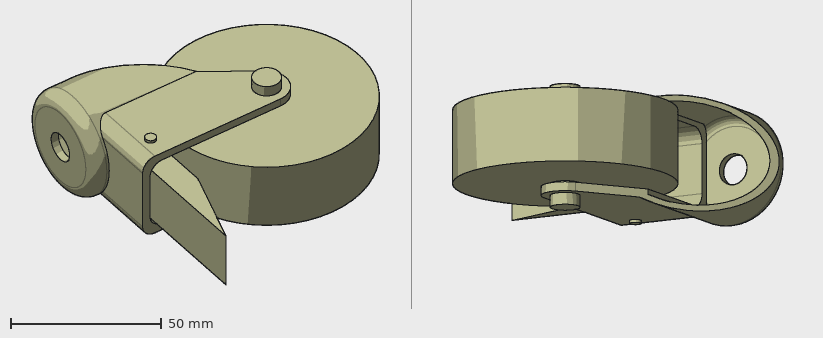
import cadquery as cq
import math

wheel_radius = 37.5
wheel_width = 25.0
axle_diameter = 10.0
axle_length = 41.0

cup_radius = 19.5
cup_wall = 2.0
cup_x = -30.5
cup_base_y = -62.5
cup_base_thickness = 3.0
cup_edge_radius = 5.0
bolt_hole_diameter = 10.5

fork_width = 33.0
fork_wall = 3.0
fork_bend_radius = 5.0
fork_start_x = -22.0
fork_base_y = -56.5
nose_radius = 8.0
slant_start_y = -56.1

pin_y = -47.5
pin_diameter = 4.0
pin_length = 35.0
pedal_width = 21.0
pedal_thickness = 10.0
pedal_taper_x = 20.0
pedal_tip_x = 50.0


def pin(diameter, length, y=0):
    """Cylinder along Z, centred on the XY plane."""
    base = cq.Workplane("XY", origin=(0, y, -length / 2))
    return base.circle(diameter / 2).extrude(length)


def upright(radius, base_y):
    """Cylinder on the swivel axis, rising along +Y past the fork nose."""
    height = nose_radius - base_y
    plane = cq.Workplane("XZ", origin=(cup_x, base_y, 0))
    return plane.circle(radius).extrude(-height)


def channel(width, base_y, bend_radius):
    """Bar along X with rounded lower edges."""
    size = (nose_radius - fork_start_x, nose_radius - base_y, width)
    bar = cq.Workplane("XY").box(*size, centered=(False, False, True))
    bar = bar.translate((fork_start_x, base_y, 0))
    return bar.faces("<Y").edges("|X").fillet(bend_radius)


def side_outline():
    """Fork side shape: a round nose with a slanted edge tangent to it."""
    left_x = cup_x - cup_radius
    distance = math.hypot(left_x, slant_start_y)
    slant = math.atan2(-slant_start_y, -left_x) + math.asin(nose_radius / distance)
    tangent = (-nose_radius * math.sin(slant), nose_radius * math.cos(slant))
    outline = (
        cq.Workplane("XY")
        .moveTo(left_x, cup_base_y)
        .lineTo(nose_radius, cup_base_y)
        .lineTo(nose_radius, 0)
        .threePointArc((0, nose_radius), tangent)
        .lineTo(left_x, slant_start_y)
        .close()
    )
    return outline.extrude(cup_radius, both=True)


def make_housing():
    cup = upright(cup_radius, cup_base_y).faces("<Y").edges().fillet(cup_edge_radius)
    cavity = upright(cup_radius - cup_wall, cup_base_y + cup_base_thickness)
    cavity = cavity.faces("<Y").edges().fillet(cup_edge_radius - cup_wall)
    fork = channel(fork_width, fork_base_y, fork_bend_radius)
    fork_space = channel(fork_width - 2 * fork_wall, fork_base_y + fork_wall, fork_bend_radius)
    bolt_hole = (
        cq.Workplane("XZ", origin=(cup_x, cup_base_y, 0))
        .circle(bolt_hole_diameter / 2)
        .extrude(-cup_base_thickness)
    )
    shell = cup.cut(cavity).cut(bolt_hole).union(fork).cut(fork_space)
    return shell.intersect(side_outline())


def make_pedal():
    """Pedal rounded about its pin and tapering to a sharp tip."""
    half = pedal_thickness / 2
    outline = (
        cq.Workplane("XY")
        .moveTo(0, pin_y - half)
        .lineTo(pedal_tip_x, pin_y - half)
        .lineTo(pedal_taper_x, pin_y + half)
        .lineTo(0, pin_y + half)
        .threePointArc((-half, pin_y), (0, pin_y - half))
        .close()
    )
    return outline.extrude(pedal_width / 2, both=True)


result = (
    make_housing()
    .union(pin(2 * wheel_radius, wheel_width))
    .union(pin(axle_diameter, axle_length))
    .union(make_pedal())
    .union(pin(pin_diameter, pin_length, pin_y))
)